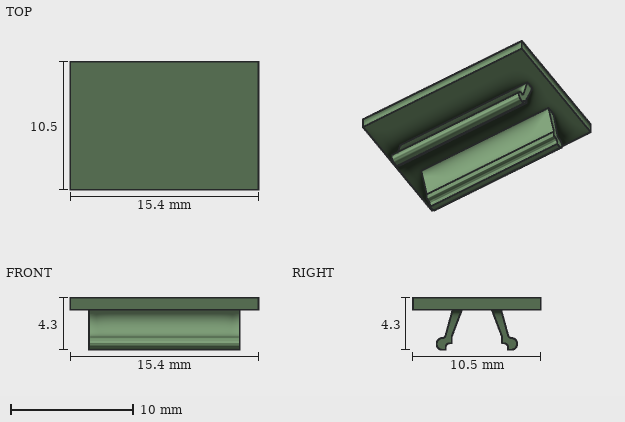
import cadquery as cq
import math

plate_length = 15.45
plate_width = 10.5
plate_thickness = 1.0
total_height = 4.3

leg_length = 12.36
leg_depth = total_height - plate_thickness
root_inner_y = 1.22
root_outer_y = 2.0
outer_slope = 0.275
inner_foot_y = 2.05
knee_z = -2.2
foot_z = -2.75

bead_radius = 0.5
bead_y = 2.81
bead_z = bead_radius - leg_depth

hollow_radius = 0.32
hollow_wall_y = 2.55
hollow_z = foot_z - hollow_radius
foot_corner_radius = 0.06


def make_leg():
    """Leg on the +Y side, centered along X."""
    diagonal = math.sqrt(0.5)

    bead_top_z = bead_z + bead_radius
    corner_y = root_outer_y - outer_slope * bead_top_z
    tangent_length = bead_y - corner_y
    face_length = math.hypot(1, outer_slope)
    blend_y = corner_y - tangent_length * outer_slope / face_length
    blend_z = bead_top_z + tangent_length / face_length

    hollow_y = hollow_wall_y - hollow_radius
    hollow_mid = (hollow_y + hollow_radius * diagonal, hollow_z + hollow_radius * diagonal)

    round_y = inner_foot_y + foot_corner_radius
    round_z = foot_z + foot_corner_radius
    round_mid = (round_y - foot_corner_radius * diagonal, round_z - foot_corner_radius * diagonal)

    return (
        cq.Workplane("YZ")
        .moveTo(root_inner_y, 0)
        .lineTo(root_outer_y, 0)
        .lineTo(blend_y, blend_z)
        .tangentArcPoint((bead_y, bead_top_z), relative=False)
        .threePointArc((bead_y + bead_radius, bead_z), (bead_y, -leg_depth))
        .lineTo(hollow_wall_y, -leg_depth)
        .lineTo(hollow_wall_y, hollow_z)
        .threePointArc(hollow_mid, (hollow_y, foot_z))
        .lineTo(round_y, foot_z)
        .threePointArc(round_mid, (inner_foot_y, round_z))
        .lineTo(inner_foot_y, knee_z)
        .close()
        .extrude(leg_length / 2, both=True)
    )


plate = cq.Workplane("XY").rect(plate_length, plate_width).extrude(plate_thickness)
leg = make_leg()
result = plate.union(leg).union(leg.mirror("XZ"))